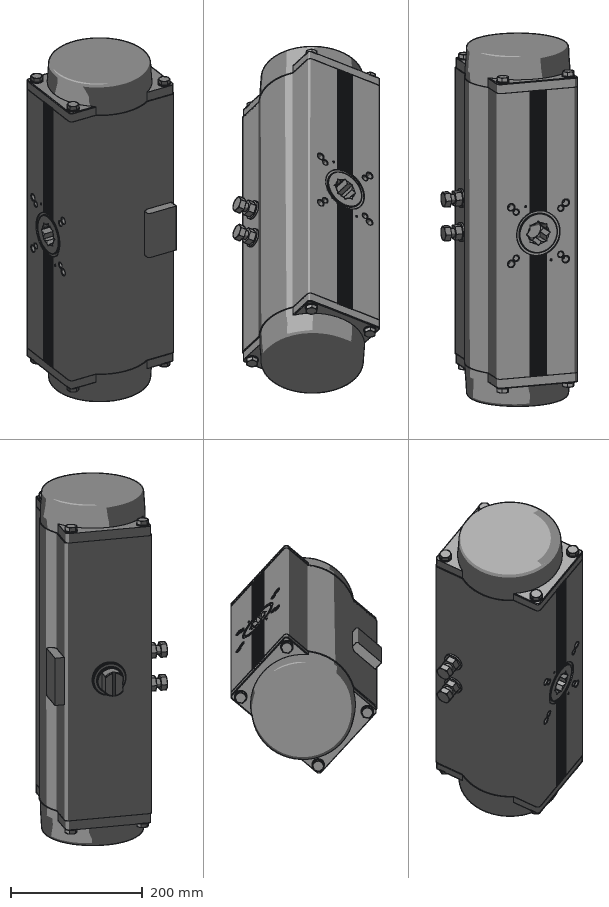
import cadquery as cq
import math


housing_half_length = 223.5
housing_top = 92.0
housing_bottom = -92.0
barrel_radius = 80.9
housing_upper_half_width = 68.7
housing_lower_half_width = 65.5
housing_upper_corner = 5.0
housing_lower_corner = 6.5
housing_upper_blend = 6.0
housing_lower_blend = 3.0

groove_count = 8
groove_width = 1.75
groove_pitch = 2 * groove_width
groove_depth = 1.0

pad_face_x = 83.2
pad_low_y = 36.0
pad_high_y = 86.0
pad_length = 76.0
pad_corner = 3.0

large_bolt_circle = 125.0
large_bolt_hole = 10.11
large_bolt_countersink = 12.0
small_bolt_circle = 102.0
small_bolt_hole = 8.38
small_bolt_countersink = 10.0
bolt_hole_depth = 18.0
drill_tip_angle = 118.0
pin_hole_diameter = 3.0
pin_hole_depth = 5.0
pin_hole_x = 20.7
pin_hole_z = 43.5
spigot_diameter = 70.0
spigot_depth = 2.0

cap_plate_thickness = 15.0
cap_barrel_radius = 79.7
cap_upper_half_width = 67.0
cap_lower_half_width = 65.0
cap_top = 92.0
cap_bottom = -91.6
cap_corner = 5.0
cap_lower_edge_chamfer = 1.2
cap_end_z = 275.15
dome_rim_radius = 77.8
dome_rim_rounding = 5.0
dome_flat_radius = 62.5
dome_face_drop = 0.8

cap_bolt_flats = 16.0
cap_bolt_head_height = 6.4
cap_bolt_washer_diameter = 19.0
cap_bolt_washer_thickness = 1.6
cap_bolt_upper = (56.5, 80.5)
cap_bolt_lower = (53.0, -79.5)

shaft_top = 122.0
shaft_diameter = 38.5
shaft_flats = 27.5
shaft_chamfer = 1.5
shaft_slot_width = 4.0
shaft_slot_depth = 3.0
collar_diameter = 40.0
collar_top = 102.5
ring_diameter = 42.0
ring_top = 99.3
washer_diameters = (53.0, 51.5, 50.0)
washer_thickness = 1.9
pinion_diameter = 62.0
pinion_top = 40.0
pinion_chamfer = 1.0
star_flats = 27.0
star_depth = 30.0
socket_relief_diameter = 29.0
socket_cone_depth = 8.0
socket_mouth_diameter = 34.0
socket_mouth_depth = 2.0

screw_y = 58.0
screw_offset_z = 26.5
screw_flats = 21.0
screw_head_end_x = -99.1
screw_head_height = 9.5
screw_shank_diameter = 14.0
screw_tip_x = -50.0
nut_outer_x = -82.0
nut_flange_diameter = 29.0
nut_flange_thickness = 3.0


def hex_corners(flats):
    """Distance across the corners of a hexagon."""
    return flats / math.cos(math.pi / 6)


def section(barrel, upper_half, lower_half, top, bottom, corners, z_start, length, lower_edge_chamfer=0):
    """A round barrel joined to a wider upper and a narrower lower block, extruded along Z."""
    upper_corner, lower_corner = corners
    plane = cq.Workplane("XY", origin=(0, 0, z_start))
    round_part = plane.circle(barrel).extrude(length)
    upper = plane.center(0, top / 2).rect(2 * upper_half, top).extrude(length)
    lower = plane.center(0, bottom / 2).rect(2 * lower_half, -bottom).extrude(length)
    upper = upper.edges("|Z and >Y").fillet(upper_corner)
    lower = lower.edges("|Z and <Y").fillet(lower_corner)
    if lower_edge_chamfer:
        lower = lower.faces(">Z").chamfer(lower_edge_chamfer)
    return round_part.union(upper).union(lower)


def blind_hole(x, z, diameter, depth, mouth_diameter):
    """A drilled hole with a countersunk mouth and a conical tip, going up from the bottom face."""
    radius = diameter / 2
    mouth_radius = mouth_diameter / 2
    tip = radius / math.tan(math.radians(drill_tip_angle / 2))
    profile = [
        (0, 0),
        (mouth_radius, 0),
        (radius, mouth_radius - radius),
        (radius, depth),
        (0, depth + tip),
    ]
    return turned_y(profile).translate((x, housing_bottom, z))


def turned_y(points):
    """A turned solid about the Y axis from (radius, y) outline points, starting and ending on the axis."""
    return cq.Workplane("XY").polyline(points).close().revolve(360, (0, 0), (0, 1))


def cylinder_y(diameter, y_start, y_end):
    plane = cq.Workplane("XZ", origin=(0, y_start, 0))
    return plane.circle(diameter / 2).extrude(y_start - y_end)


def cylinder_x(diameter, x_start, x_end, z):
    plane = cq.Workplane("YZ", origin=(x_start, screw_y, z))
    return plane.circle(diameter / 2).extrude(x_end - x_start)


def hexagon_x(flats, x_start, x_end, z):
    """A hexagonal prism along X with two corners pointing along Y."""
    plane = cq.Workplane("YZ", origin=(x_start, screw_y, z))
    return plane.polygon(6, hex_corners(flats)).extrude(x_end - x_start)


def make_housing():
    body = section(
        barrel_radius,
        housing_upper_half_width,
        housing_lower_half_width,
        housing_top,
        housing_bottom,
        (housing_upper_corner, housing_lower_corner),
        -housing_half_length,
        2 * housing_half_length,
    )
    for half_width, y_side, blend in (
        (housing_upper_half_width, 1, housing_upper_blend),
        (housing_lower_half_width, -1, housing_lower_blend),
    ):
        y = y_side * math.sqrt(barrel_radius**2 - half_width**2)
        for x in (-half_width, half_width):
            body = body.edges(cq.selectors.NearestToPointSelector((x, y, 0))).fillet(blend)
    pad_width = pad_high_y - pad_low_y
    pad = cq.Workplane("XY").box(pad_face_x, pad_width, pad_length)
    pad = pad.translate((pad_face_x / 2, pad_low_y + pad_width / 2, 0))
    pad = pad.edges("|Z and >X and <Y").fillet(pad_corner)
    body = body.union(pad)
    for index in range(groove_count):
        x = (index - (groove_count - 1) / 2) * groove_pitch
        groove = cq.Workplane("XY").box(groove_width, 2 * groove_depth, 2 * housing_half_length)
        body = body.cut(groove.translate((x, housing_bottom, 0)))
    for x_side in (-1, 1):
        for z_side in (-1, 1):
            for circle, hole, countersink in (
                (large_bolt_circle, large_bolt_hole, large_bolt_countersink),
                (small_bolt_circle, small_bolt_hole, small_bolt_countersink),
            ):
                offset = circle / 2 * math.sqrt(0.5)
                x = x_side * offset
                z = z_side * offset
                body = body.cut(blind_hole(x, z, hole, bolt_hole_depth, countersink))
    for side in (-1, 1):
        pin_hole = cylinder_y(pin_hole_diameter, housing_bottom, housing_bottom + pin_hole_depth)
        body = body.cut(pin_hole.translate((-side * pin_hole_x, 0, side * pin_hole_z)))
    body = body.cut(cylinder_y(spigot_diameter, housing_bottom, housing_bottom + spigot_depth))
    body = body.cut(cylinder_y(pinion_diameter, housing_bottom, pinion_top))
    body = body.cut(cylinder_y(shaft_diameter, pinion_top, housing_top))
    for side in (-1, 1):
        z = side * screw_offset_z
        body = body.cut(cylinder_x(screw_shank_diameter, screw_head_end_x, screw_tip_x, z))
        body = body.cut(cylinder_x(nut_flange_diameter, nut_outer_x, -housing_upper_half_width, z))
    return body


def make_cap_bolt_head():
    """A hexagon head with bevelled corners on its washer, standing on the XY plane."""
    corners = hex_corners(cap_bolt_flats)
    bevel = (corners - cap_bolt_flats) / 2
    washer = cq.Workplane("XY").circle(cap_bolt_washer_diameter / 2).extrude(cap_bolt_washer_thickness)
    seat = cq.Workplane("XY", origin=(0, 0, cap_bolt_washer_thickness))
    blank = seat.circle(corners / 2).extrude(cap_bolt_head_height)
    blank = blank.faces(">Z").chamfer(bevel / 2, bevel)
    head = seat.polygon(6, corners).extrude(cap_bolt_head_height).intersect(blank)
    return washer.union(head)


def make_cap():
    """The +Z end cap with its four bolt heads."""
    cap = section(
        cap_barrel_radius,
        cap_upper_half_width,
        cap_lower_half_width,
        cap_top,
        cap_bottom,
        (cap_corner, cap_corner),
        housing_half_length,
        cap_plate_thickness,
        cap_lower_edge_chamfer,
    )
    plate_z = housing_half_length + cap_plate_thickness
    face_edge_radius = dome_rim_radius - dome_rim_rounding
    face_edge_z = cap_end_z - dome_face_drop
    rim_z = face_edge_z - dome_rim_rounding
    diagonal = dome_rim_rounding * math.sqrt(0.5)
    dome = (
        cq.Workplane("XZ")
        .moveTo(0, plate_z)
        .lineTo(cap_barrel_radius, plate_z)
        .lineTo(dome_rim_radius, rim_z)
        .threePointArc((face_edge_radius + diagonal, rim_z + diagonal), (face_edge_radius, face_edge_z))
        .lineTo(dome_flat_radius, cap_end_z)
        .lineTo(0, cap_end_z)
        .close()
        .revolve(360, (0, 0), (0, 1))
    )
    cap = cap.union(dome)
    bolt_head = make_cap_bolt_head()
    for x, y in (cap_bolt_upper, cap_bolt_lower):
        for side in (-1, 1):
            cap = cap.union(bolt_head.translate((side * x, y, plate_z)))
    return cap


def make_pinion():
    pinion_radius = pinion_diameter / 2
    shaft_radius = shaft_diameter / 2
    washers = []
    washer_top = housing_top
    for diameter in washer_diameters:
        washers.append((diameter / 2, washer_top))
        washer_top += washer_thickness
        washers.append((diameter / 2, washer_top))
    shaft = turned_y(
        [
            (0, housing_bottom),
            (pinion_radius - pinion_chamfer, housing_bottom),
            (pinion_radius, housing_bottom + pinion_chamfer),
            (pinion_radius, pinion_top),
            (shaft_radius, pinion_top),
            (shaft_radius, housing_top),
            *washers,
            (ring_diameter / 2, washer_top),
            (ring_diameter / 2, ring_top),
            (collar_diameter / 2, ring_top),
            (collar_diameter / 2, collar_top),
            (shaft_radius, collar_top),
            (shaft_radius, shaft_top - shaft_chamfer),
            (shaft_radius - shaft_chamfer, shaft_top),
            (0, shaft_top),
        ]
    )
    flat_length = shaft_top - collar_top
    for side in (-1, 1):
        waste = cq.Workplane("XY").box(shaft_radius, flat_length, shaft_diameter)
        x = side * (shaft_flats + shaft_radius) / 2
        shaft = shaft.cut(waste.translate((x, collar_top + flat_length / 2, 0)))
    slot = cq.Workplane("XY").box(shaft_slot_width, 2 * shaft_slot_depth, shaft_diameter)
    shaft = shaft.cut(slot.translate((0, shaft_top, 0)))
    star_end = housing_bottom + star_depth
    for angle in (0, 45):
        square = cq.Workplane("XY").box(star_flats, star_depth, star_flats)
        square = square.rotate((0, 0, 0), (0, 1, 0), angle)
        shaft = shaft.cut(square.translate((0, housing_bottom + star_depth / 2, 0)))
    relief_radius = socket_relief_diameter / 2
    relief = turned_y(
        [
            (0, housing_bottom),
            (socket_mouth_diameter / 2, housing_bottom),
            (relief_radius, housing_bottom + socket_mouth_depth),
            (relief_radius, star_end),
            (0, star_end + socket_cone_depth),
        ]
    )
    return shaft.cut(relief)


def make_stop_screw(z):
    head_inner_x = screw_head_end_x + screw_head_height
    bevel = (hex_corners(screw_flats) - screw_flats) / 2
    blank = cylinder_x(hex_corners(screw_flats), screw_head_end_x, head_inner_x, z)
    blank = blank.faces("<X").chamfer(bevel / 2, bevel)
    head = hexagon_x(screw_flats, screw_head_end_x, head_inner_x, z).intersect(blank)
    return head.union(cylinder_x(screw_shank_diameter, head_inner_x, screw_tip_x, z))


def make_lock_nut(z):
    flange_x = -housing_upper_half_width - nut_flange_thickness
    nut = hexagon_x(screw_flats, nut_outer_x, flange_x, z)
    nut = nut.union(cylinder_x(nut_flange_diameter, flange_x, -housing_upper_half_width, z))
    return nut.cut(cylinder_x(screw_shank_diameter, nut_outer_x, -housing_upper_half_width, z))


housing = make_housing()
upper_cap = make_cap()
lower_cap = upper_cap.mirror("XY")
pinion = make_pinion()
stop_screws = [make_stop_screw(side * screw_offset_z) for side in (-1, 1)]
lock_nuts = [make_lock_nut(side * screw_offset_z) for side in (-1, 1)]

result = cq.Compound.makeCompound(
    [
        housing.val(),
        upper_cap.val(),
        lower_cap.val(),
        pinion.val(),
        *[screw.val() for screw in stop_screws],
        *[nut.val() for nut in lock_nuts],
    ]
)